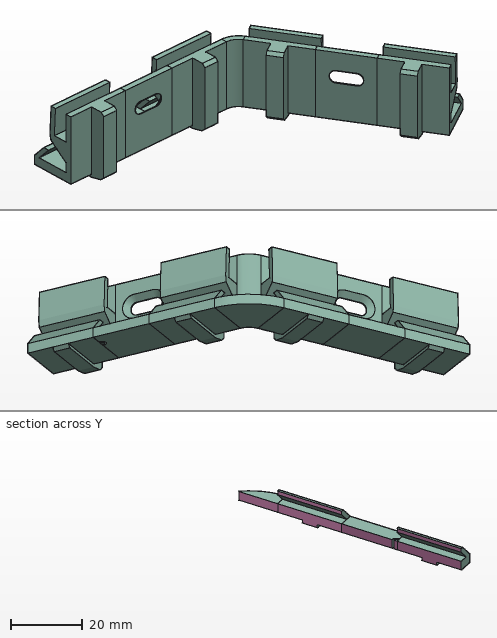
import cadquery as cq

arm_turn = 58.2
bend_back_radius = 20.0
sector_start = 90.0
rail_depth = 15.0
wall_height = 22.09
wall_thickness = 2.0
base_thickness = 3.0
clip_length = 21.0
middle_length = 18.0

lip_run = 3.9
lip_top = 7.2
lip_thickness = 2.0

shelf_top = 13.0
fin_top_depth = 6.85
fin_bulge_depth = 6.4
fin_toe_depth = 6.7
fin_toe_z = 11.0
fin_thickness = 1.85
shelf_root_z = 6.2

rib_width = 5.0
rib_reach = 5.0
rib_drop = 1.0
rib_chamfer = 1.0
rib_toe_z = 1.0
rib_knee_setback = 1.3
rib_knee_drop = 0.2

slot_length = 10.0
slot_height = 4.0
slot_z = 14.0
countersink = 1.7
countersink_taper = 45.0

ring_outer_radius = 1.2
ring_inner_radius = 0.7
ring_depth = 4.6
ring_end_gap = 0.35

wall_inner_depth = rail_depth - wall_thickness
bend_front_radius = bend_back_radius - rail_depth
arm_sides = (1, -1)
clip_starts = (0.0, clip_length + middle_length)


def span_start(side, start, length):
    """Lowest X of a section that begins `start` from the bend."""
    return start if side > 0 else -(start + length)


def extrude_profile(points, x_start, length):
    """Solid with a (depth, z) outline, running along X."""
    placed = [(bend_back_radius - depth, z) for depth, z in points]
    return cq.Workplane("YZ").workplane(offset=x_start).polyline(placed).close().extrude(length)


def make_clip(x_start):
    """Tray with a lip, a fin and a rib around its middle."""
    body = extrude_profile(
        [
            (0, 0),
            (rail_depth, 0),
            (rail_depth, wall_height),
            (wall_inner_depth, wall_height),
            (wall_inner_depth, shelf_top),
            (fin_bulge_depth + fin_thickness, shelf_top),
            (fin_top_depth + fin_thickness, wall_height),
            (fin_top_depth, wall_height),
            (fin_bulge_depth, shelf_top),
            (fin_toe_depth, fin_toe_z),
            (wall_inner_depth, shelf_root_z),
            (wall_inner_depth, base_thickness),
            (lip_thickness, base_thickness),
            (lip_thickness + lip_run, lip_top),
            (lip_run, lip_top),
            (0, base_thickness),
        ],
        x_start,
        clip_length,
    )
    rib_front = rail_depth + rib_reach
    rib = extrude_profile(
        [
            (0, 0),
            (rib_drop, -rib_drop),
            (rail_depth, -rib_drop),
            (rib_front - rib_knee_setback, -rib_knee_drop),
            (rib_front, rib_toe_z),
            (rib_front, wall_height - rib_chamfer),
            (rib_front - rib_chamfer, wall_height),
            (rail_depth, wall_height),
            (rail_depth, 0),
        ],
        x_start + (clip_length - rib_width) / 2,
        rib_width,
    )
    return body.union(rib)


def make_middle(x_start):
    """Plain tray and wall, with a slot countersunk from inside the wall."""
    body = extrude_profile(
        [
            (0, 0),
            (rail_depth, 0),
            (rail_depth, wall_height),
            (wall_inner_depth, wall_height),
            (wall_inner_depth, base_thickness),
            (0, base_thickness),
        ],
        x_start,
        middle_length,
    )
    wall_inside = cq.Workplane(
        "XZ", origin=(x_start + middle_length / 2, bend_back_radius - wall_inner_depth, slot_z)
    )
    slot = wall_inside.slot2D(slot_length, slot_height).extrude(wall_thickness)
    flare = wall_inside.slot2D(
        slot_length + 2 * countersink, slot_height + 2 * countersink
    ).extrude(countersink, taper=countersink_taper)
    return body.cut(slot).cut(flare)


def make_sector(inner_radius, outer_radius, height):
    """Part of a ring around the Z axis, from the straight arm round to the turned arm."""
    ring_section = cq.Workplane("XZ").polyline(
        [
            (inner_radius, 0),
            (outer_radius, 0),
            (outer_radius, height),
            (inner_radius, height),
        ]
    )
    sector = ring_section.close().revolve(arm_turn, (0, 0, 0), (0, 1, 0))
    return sector.rotate((0, 0, 0), (0, 0, 1), sector_start)


def make_bend():
    """Curved tray and wall joining the two arms."""
    tray = make_sector(bend_front_radius, bend_back_radius, base_thickness)
    wall = make_sector(bend_front_radius, bend_front_radius + wall_thickness, wall_height)
    return tray.union(wall)


def place_in_arm(body, side):
    """Turn a body of the second arm about the centre of the bend."""
    return body if side > 0 else body.rotate((0, 0, 0), (0, 0, 1), arm_turn)


clips = []
for side in arm_sides:
    for start in clip_starts:
        clip = make_clip(span_start(side, start, clip_length))
        clips.append(place_in_arm(clip, side).val())

straight_middle = make_middle(span_start(1, clip_length, middle_length))
turned_middle = place_in_arm(make_middle(span_start(-1, clip_length, middle_length)), -1)

middle_end = clip_length + middle_length
ring_centre = cq.Workplane(
    "XY", origin=(middle_end - ring_end_gap, bend_back_radius - ring_depth, 0)
)
base_before_end = cq.Workplane("XY").box(
    middle_end, bend_back_radius, base_thickness, centered=False
)
plug = ring_centre.circle(ring_inner_radius).extrude(base_thickness).intersect(base_before_end)
straight_middle = straight_middle.cut(ring_centre.circle(ring_outer_radius).extrude(base_thickness))

bend = make_bend()

result = cq.Compound.makeCompound(
    [*clips, straight_middle.val(), turned_middle.val(), bend.val(), plug.val()]
)